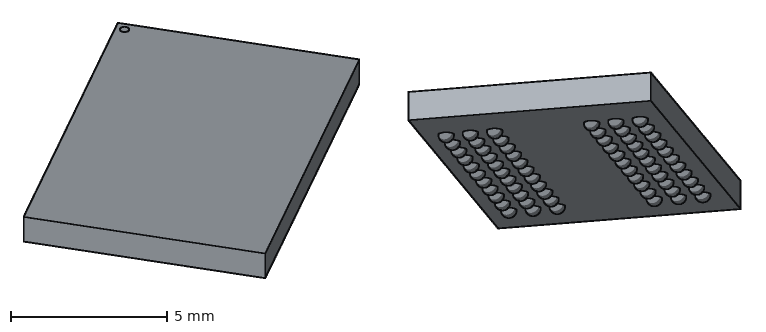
import cadquery as cq

length = 11.5
width = 8.0
total_height = 1.21
ball_drop = 0.25
body_height = total_height - ball_drop

pitch = width / 10
ball_rows = 11
columns_per_bank = 3
inner_column_x = 2 * pitch
ball_diameter = 0.51
ball_radius = ball_diameter / 2

mark_diameter = 0.3
mark_inset = 0.31
mark_depth = 0.006


def ball_centres():
    """Grid positions of the balls, mirrored about the YZ plane."""
    centres = []
    for side in (-1, 1):
        for column in range(columns_per_bank):
            x = side * (inner_column_x + column * pitch)
            for row in range(ball_rows):
                y = (row - (ball_rows - 1) / 2) * pitch
                centres.append((x, y))
    return centres


def make_body():
    """Plain slab standing on Z = 0."""
    return cq.Workplane("XY").box(width, length, body_height, centered=(True, True, False))


def make_balls():
    """Spheres half sunk into the underside of the body."""
    centre_z = ball_radius - ball_drop
    ball = cq.Solid.makeSphere(ball_radius, angleDegrees1=-90, angleDegrees2=90)
    balls = [ball.translate(cq.Vector(x, y, centre_z)) for x, y in ball_centres()]
    return cq.Workplane("XY").newObject(balls)


def make_mark():
    """Cutter for the pin 1 recess in the -X, +Y corner."""
    return (
        cq.Workplane("XY", origin=(0, 0, body_height - mark_depth))
        .center(mark_inset - width / 2, length / 2 - mark_inset)
        .circle(mark_diameter / 2)
        .extrude(mark_depth)
    )


body = make_body().cut(make_mark())
result = cq.Workplane("XY").newObject([body.val().fuse(*make_balls().vals())])